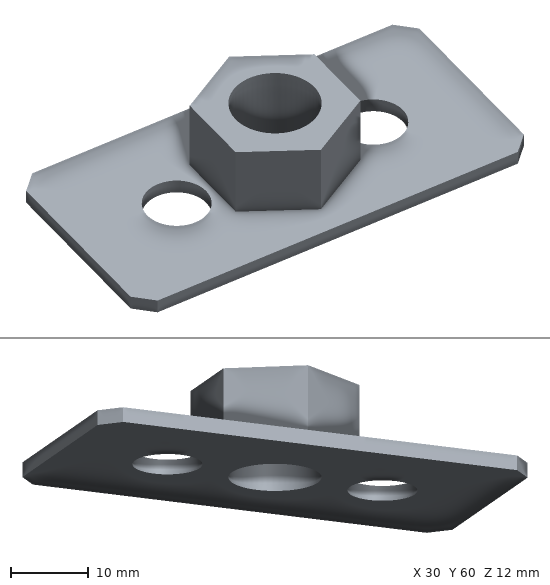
import cadquery as cq
import math

plate_length = 60.0
plate_width = plate_length / 2
plate_thickness = 2.0
corner_chamfer = 2.5

total_height = 12.0
hex_across_flats = 19.0
hex_across_corners = hex_across_flats / math.cos(math.pi / 6)

bore_diameter = 12.0
mount_hole_diameter = 9.0
mount_hole_spacing = plate_length / 2


def make_plate():
    """Flat plate resting on Z = 0 with its four corners cut off."""
    plate = cq.Workplane("XY").box(
        plate_width, plate_length, plate_thickness, centered=(True, True, False)
    )
    return plate.edges("|Z").chamfer(corner_chamfer)


def make_hex_boss():
    """Hexagonal prism standing over the plate centre."""
    return cq.Workplane("XY").polygon(6, hex_across_corners).extrude(total_height)


def make_through_hole(diameter, y):
    """Cutting cylinder that runs through the full height of the part."""
    return cq.Workplane("XY").center(0, y).circle(diameter / 2).extrude(total_height)


result = make_plate().union(make_hex_boss())
result = result.cut(make_through_hole(bore_diameter, 0))
for side in (-1, 1):
    result = result.cut(make_through_hole(mount_hole_diameter, side * mount_hole_spacing / 2))